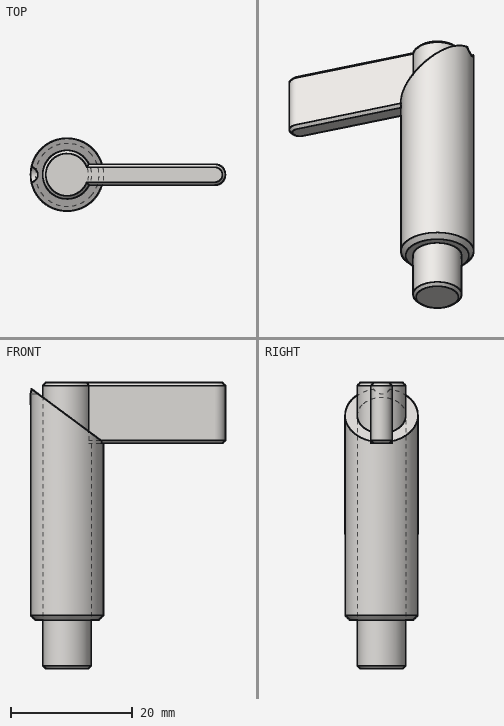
import cadquery as cq

total_height = 47.0
sleeve_diameter = 12.0
sleeve_radius = sleeve_diameter / 2
overall_length = 32.0
blade_reach = overall_length - sleeve_radius

pin_diameter = 8.0
blade_thickness = 3.5
blade_height = 10.0
blade_bottom = total_height - blade_height
lever_chamfer = 0.5

sleeve_bottom = 8.0
sleeve_chamfer = 0.8
slope_high = 46.05
slope_low = 37.2

groove_radius = 1.5
groove_floor = 45.15
groove_length = sleeve_radius / 2


def make_blade():
    """Flat blade from the pin axis to a fully rounded tip, with square edges."""
    half_thickness = blade_thickness / 2
    tip_center = blade_reach - half_thickness
    return (
        cq.Workplane("XY", origin=(0, 0, blade_bottom))
        .moveTo(0, -half_thickness)
        .lineTo(tip_center, -half_thickness)
        .threePointArc((blade_reach, 0), (tip_center, half_thickness))
        .lineTo(0, half_thickness)
        .close()
        .extrude(blade_height)
    )


def make_pin():
    """Full-height pin with square edges."""
    return cq.Workplane("XY").circle(pin_diameter / 2).extrude(total_height)


def make_lever():
    """Pin and blade in one piece, chamfered around every horizontal outline."""
    lever = make_pin().union(make_blade())
    blade_underside = cq.selectors.NearestToPointSelector((blade_reach / 2, 0, blade_bottom))
    return (
        lever.faces(">Z or <Z").chamfer(lever_chamfer)
        .faces(blade_underside).edges("not(<X)").chamfer(lever_chamfer)
    )


def make_sleeve():
    """Slope-topped tube with a bore for the pin, a slot for the blade and an index groove."""
    body = (
        cq.Workplane("XY", origin=(0, 0, sleeve_bottom))
        .circle(sleeve_radius)
        .extrude(total_height - sleeve_bottom)
        .faces("<Z")
        .chamfer(sleeve_chamfer)
    )
    side_profile = (
        cq.Workplane("XZ")
        .polyline([
            (-sleeve_radius, sleeve_bottom),
            (sleeve_radius, sleeve_bottom),
            (sleeve_radius, slope_low),
            (-sleeve_radius, slope_high),
        ])
        .close()
        .extrude(sleeve_radius, both=True)
    )
    groove = (
        cq.Workplane("YZ", origin=(-sleeve_radius, 0, groove_floor + groove_radius))
        .circle(groove_radius)
        .extrude(groove_length)
    )
    return body.intersect(side_profile).cut(groove).cut(make_pin()).cut(make_blade())


lever = make_lever()
sleeve = make_sleeve()

result = cq.Compound.makeCompound([lever.val(), sleeve.val()])